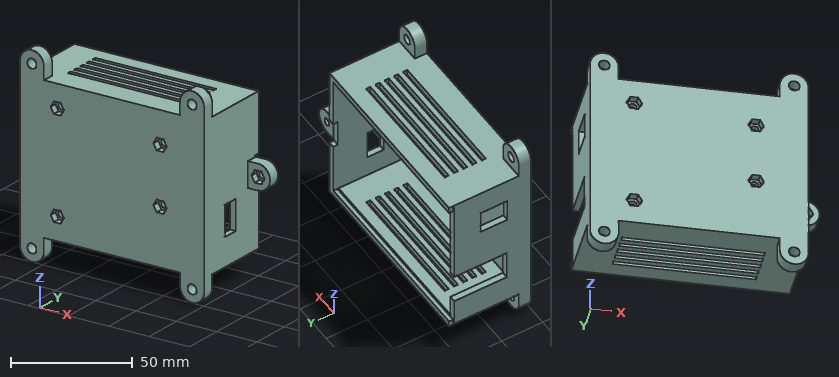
import cadquery as cq
import math

BODY_X = 91.5
BODY_Y = 40.0
BODY_Z = 70.0
WALL = 3.0
FLOOR = 5.9

EAR_WIDTH = 12.0
EAR_THICKNESS = FLOOR
EAR_REACH = EAR_WIDTH
EAR_HOLE = 4.5

LID_SEAT_Y = 37.4
LID_FLANGE = 0.56
LID_GROOVE_DEPTH = 1.5

LUG_REACH = 11.0
LUG_BACK_Y = 38.0
LUG_Z = 0.5
LID_NOTCH_WIDTH = 13.3
LID_NOTCH_DEPTH = 2.3

SCREW_HOLE = 3.5
NUT_FLATS = 5.6
NUT_CORNERS = NUT_FLATS / math.cos(math.pi / 6)
NUT_DEPTH = 3.5
LEFT_SCREW_X = 18.6
RIGHT_SCREW_X = 69.6
SCREW_POINTS = [
    (LEFT_SCREW_X, -24.0),
    (LEFT_SCREW_X, 24.0),
    (RIGHT_SCREW_X, -8.0),
    (RIGHT_SCREW_X, 19.5),
]

VENT_COUNT = 5
VENT_LENGTH = 60.0
VENT_WIDTH = 1.9
VENT_PITCH = 4.5
VENT_MID_Y = 22.0

WINDOW_Y = (11.5, 24.5)
WINDOW_Z = (12.3, 23.4)
PORT_Z = (-21.5, -7.3)
LEFT_PORT_START_Y = 11.8
RIGHT_PORT_Y = (15.4, 23.3)


def block(x_range, y_range, z_range):
    """Box spanning the given (low, high) ranges along X, Y and Z."""
    spans = [high - low for low, high in (x_range, y_range, z_range)]
    corner = (x_range[0], y_range[0], z_range[0])
    return cq.Workplane("XY").box(*spans, centered=False).translate(corner)


def screw_hole(x, z, start_y, depth):
    """Round screw hole running from start_y toward +Y."""
    face = cq.Workplane("XZ", origin=(x, start_y, z))
    return face.circle(SCREW_HOLE / 2).extrude(-depth)


def nut_pocket(x, z, start_y):
    """Hexagon with flats facing up and down, cut in from start_y."""
    face = cq.Workplane("XZ", origin=(x, start_y, z))
    return face.polygon(6, NUT_CORNERS).extrude(-NUT_DEPTH)


def make_shell():
    half_z = BODY_Z / 2
    inner_x = (WALL, BODY_X - WALL)
    inner_z = (WALL - half_z, half_z - WALL)
    shell = block((0, BODY_X), (0, BODY_Y), (-half_z, half_z))
    shell = shell.cut(block(inner_x, (FLOOR, BODY_Y), inner_z))

    lid_path_x = (0, inner_x[1])
    groove_z = (inner_z[0] - LID_GROOVE_DEPTH, inner_z[1] + LID_GROOVE_DEPTH)
    shell = shell.cut(block(lid_path_x, (LID_SEAT_Y, BODY_Y), inner_z))
    return shell.cut(block(lid_path_x, (LID_SEAT_Y, LID_SEAT_Y + LID_FLANGE), groove_z))


def make_ears():
    """Two full-height strips with rounded ends."""
    length = BODY_Z + 2 * EAR_REACH
    ears = cq.Workplane("XZ")
    for x in (EAR_WIDTH / 2, BODY_X - EAR_WIDTH / 2):
        ears = ears.moveTo(x, 0).slot2D(length, EAR_WIDTH, 90)
    return ears.extrude(-EAR_THICKNESS)


def ear_holes():
    holes = cq.Workplane("XZ")
    hole_z = BODY_Z / 2 + EAR_REACH - EAR_WIDTH / 2
    for x in (EAR_WIDTH / 2, BODY_X - EAR_WIDTH / 2):
        holes = holes.pushPoints([(x, -hole_z), (x, hole_z)])
        holes = holes.circle(EAR_HOLE / 2)
    return holes.extrude(-EAR_THICKNESS)


def make_lug():
    """Lug with a rounded outer end and a flat inner end against the right wall."""
    radius = EAR_WIDTH / 2
    center_x = BODY_X + LUG_REACH - radius
    y_range = (LUG_BACK_Y - EAR_THICKNESS, LUG_BACK_Y)
    outline = (
        cq.Workplane("XZ", origin=(0, y_range[0], 0))
        .moveTo(BODY_X, LUG_Z - radius)
        .lineTo(center_x, LUG_Z - radius)
        .threePointArc((center_x + radius, LUG_Z), (center_x, LUG_Z + radius))
        .lineTo(BODY_X, LUG_Z + radius)
        .close()
    )
    lug = outline.extrude(-EAR_THICKNESS)
    lug = lug.cut(nut_pocket(center_x, LUG_Z, y_range[0]))
    return lug.cut(screw_hole(center_x, LUG_Z, y_range[0], EAR_THICKNESS))


def screw_cuts():
    cuts = cq.Workplane("XZ")
    for x, z in SCREW_POINTS:
        cuts = cuts.union(screw_hole(x, z, 0, FLOOR))
        cuts = cuts.union(nut_pocket(x, z, 0))
    return cuts


def vent_cuts():
    plan = cq.Workplane("XY").center(BODY_X / 2, VENT_MID_Y)
    slots = plan.rarray(1, VENT_PITCH, 1, VENT_COUNT).rect(VENT_LENGTH, VENT_WIDTH)
    return slots.extrude(BODY_Z / 2, both=True)


def side_cuts():
    left = (0, WALL)
    right = (BODY_X - WALL, BODY_X)
    notch_z = (LUG_Z - LID_NOTCH_WIDTH / 2, LUG_Z + LID_NOTCH_WIDTH / 2)
    cuts = block(left, WINDOW_Y, WINDOW_Z)
    cuts = cuts.union(block(left, (LEFT_PORT_START_Y, BODY_Y), PORT_Z))
    cuts = cuts.union(block(right, RIGHT_PORT_Y, PORT_Z))
    return cuts.union(block(right, (BODY_Y - LID_NOTCH_DEPTH, BODY_Y), notch_z))


body = make_shell().union(make_ears())
for cut in (ear_holes(), screw_cuts(), vent_cuts(), side_cuts()):
    body = body.cut(cut)
result = body.union(make_lug())